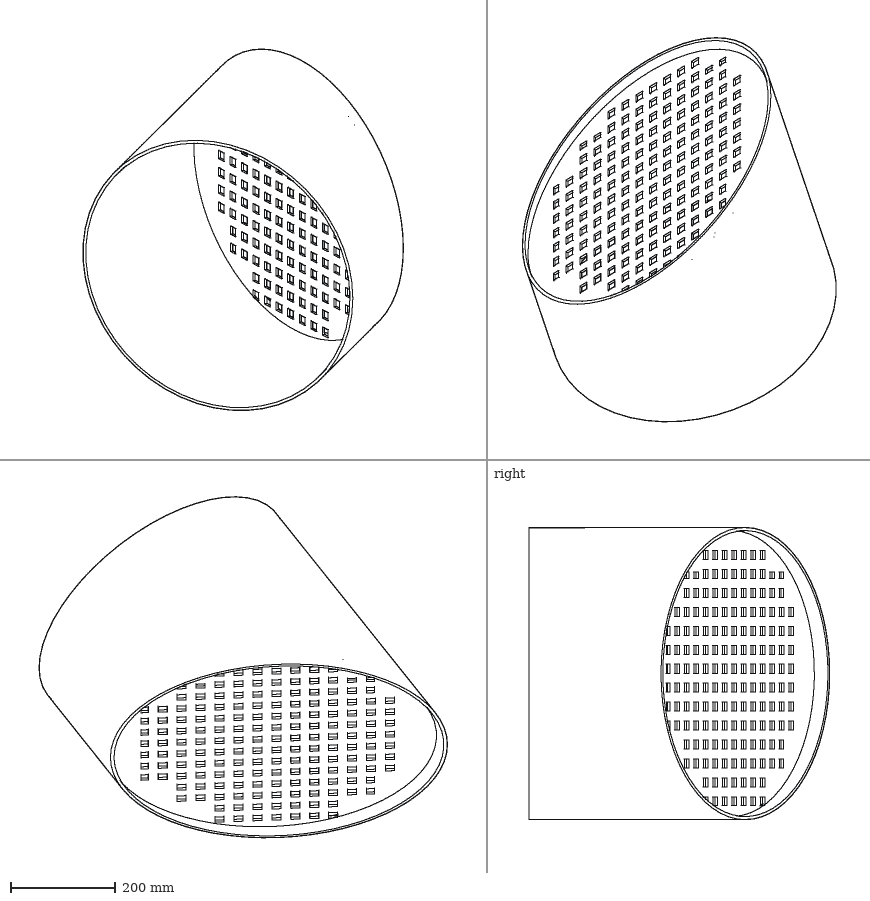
import cadquery as cq
import math

tube_length = 577.0
tube_diameter = 560.0
bore_diameter = 548.0
slant_angle = 30.0

plate_diameter = 554.0
plate_thickness = 5.0
plate_inset = 27.5

hole_size = 17.5
hole_pitch = 36.5
grid_reach = 8
datum_hole_u = -12.0
datum_hole_z = 9.0

tall_region = (-132.5, 109.5, -253.0, 242.0)
middle_region = (-200.0, 181.5, -190.5, 195.0)
wide_region = (-242.0, 247.5, -121.0, 132.5)
regions = (tall_region, middle_region, wide_region)

slant = math.radians(slant_angle)
axis_length = tube_length - tube_diameter / 2 * math.tan(slant)
plate_front = axis_length - plate_inset / math.cos(slant)


def slanted_plane(axis_position):
    """Plane parallel to the slanted end, facing the front, its local y along Z."""
    return cq.Plane(
        origin=(0, axis_position, 0),
        xDir=(math.cos(slant), -math.sin(slant), 0),
        normal=(-math.sin(slant), -math.cos(slant), 0),
    )


def axial_cylinder(diameter):
    """Cylinder on the tube axis, from Y = 0 to the far end of the tube."""
    return cq.Workplane("XZ").circle(diameter / 2).extrude(-tube_length)


def slanted_slab(axis_position, thickness):
    """Oversized slab reaching rearward from a slanted plane."""
    slab_side = 3 * tube_length
    return cq.Workplane(slanted_plane(axis_position)).rect(slab_side, slab_side).extrude(-thickness)


def make_plate_blank():
    return axial_cylinder(plate_diameter).intersect(slanted_slab(plate_front, plate_thickness))


def make_tube():
    tube = axial_cylinder(tube_diameter).cut(axial_cylinder(bore_diameter))
    tube = tube.cut(slanted_slab(axis_length, tube_length))
    return tube.cut(make_plate_blank())


def trimmed_hole(hole_u, hole_z, region):
    """Width, height and centre of the part of a grid hole that lies within a region."""
    region_left, region_right, region_bottom, region_top = region
    left = max(hole_u - hole_size / 2, region_left)
    right = min(hole_u + hole_size / 2, region_right)
    bottom = max(hole_z - hole_size / 2, region_bottom)
    top = min(hole_z + hole_size / 2, region_top)
    width = max(right - left, 0)
    height = max(top - bottom, 0)
    return width, height, (left + right) / 2, (bottom + top) / 2


def hole_area(hole):
    width, height, _, _ = hole
    return width * height


def hole_cutter(hole):
    width, height, centre_u, centre_z = hole
    return (
        cq.Workplane(slanted_plane(plate_front))
        .center(centre_u, centre_z)
        .rect(width, height)
        .extrude(-plate_thickness)
        .val()
    )


def make_hole_cutters():
    """One cutter per grid hole, trimmed by the region that leaves most of it."""
    steps = range(-grid_reach, grid_reach + 1)
    cutters = []
    for column in steps:
        hole_u = datum_hole_u + column * hole_pitch
        for row in steps:
            hole_z = datum_hole_z + row * hole_pitch
            hole = max((trimmed_hole(hole_u, hole_z, region) for region in regions), key=hole_area)
            if hole_area(hole) > 0:
                cutters.append(hole_cutter(hole))
    return cutters


def make_plate():
    cutters = cq.Compound.makeCompound(make_hole_cutters())
    return make_plate_blank().cut(cq.Workplane(cutters)).solids()


tube = make_tube()
plate = make_plate()

result = cq.Compound.makeCompound([tube.val(), plate.val()])